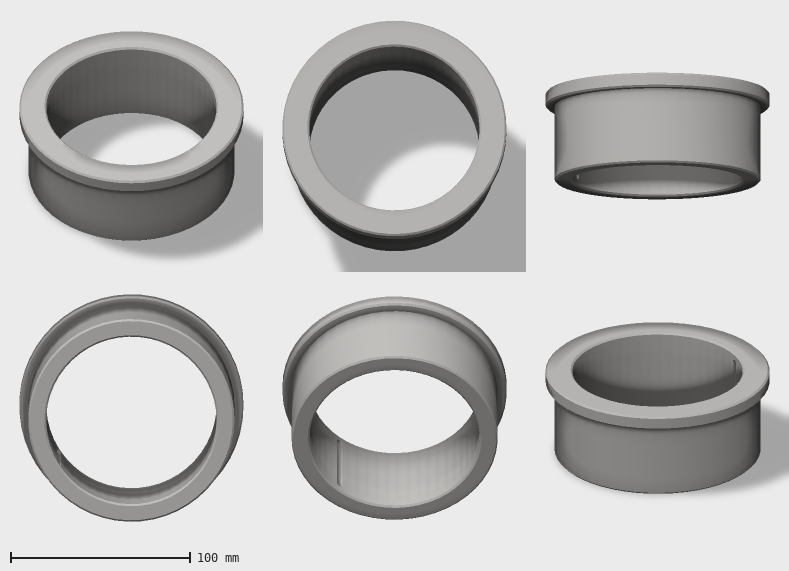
import cadquery as cq

flange_diameter = 125.0
sleeve_diameter = 115.0
bore_diameter = 95.0
total_height = 50.0
flange_height = 8.0
edge_chamfer = 1.0

groove_radius = 2.0
groove_bottom = 4.0
groove_length = total_height - 2 * groove_bottom


def make_bushing():
    """Sleeve with a flange at its top and chamfered edges, bored through."""
    sleeve = cq.Workplane("XY").circle(sleeve_diameter / 2).extrude(total_height)
    sleeve = sleeve.faces("<Z").edges().chamfer(edge_chamfer)

    flange = cq.Workplane("XY").workplane(offset=total_height - flange_height)
    flange = flange.circle(flange_diameter / 2).extrude(flange_height)
    flange = flange.edges().chamfer(edge_chamfer)

    bore = cq.Workplane("XY").circle(bore_diameter / 2).extrude(total_height)
    body = sleeve.union(flange).cut(bore)
    bore_edges = body.edges(cq.selectors.RadiusNthSelector(0))
    return bore_edges.chamfer(edge_chamfer)


def make_groove_cutter():
    """Upright cylinder with ball ends, centred on the bore wall."""
    straight_length = groove_length - 2 * groove_radius
    cutter = cq.Workplane("XY").circle(groove_radius).extrude(straight_length)
    for end_height in (0, straight_length):
        ball = cq.Workplane("XY").sphere(groove_radius)
        cutter = cutter.union(ball.translate((0, 0, end_height)))
    return cutter.translate((bore_diameter / 2, 0, groove_bottom + groove_radius))


result = make_bushing().cut(make_groove_cutter())